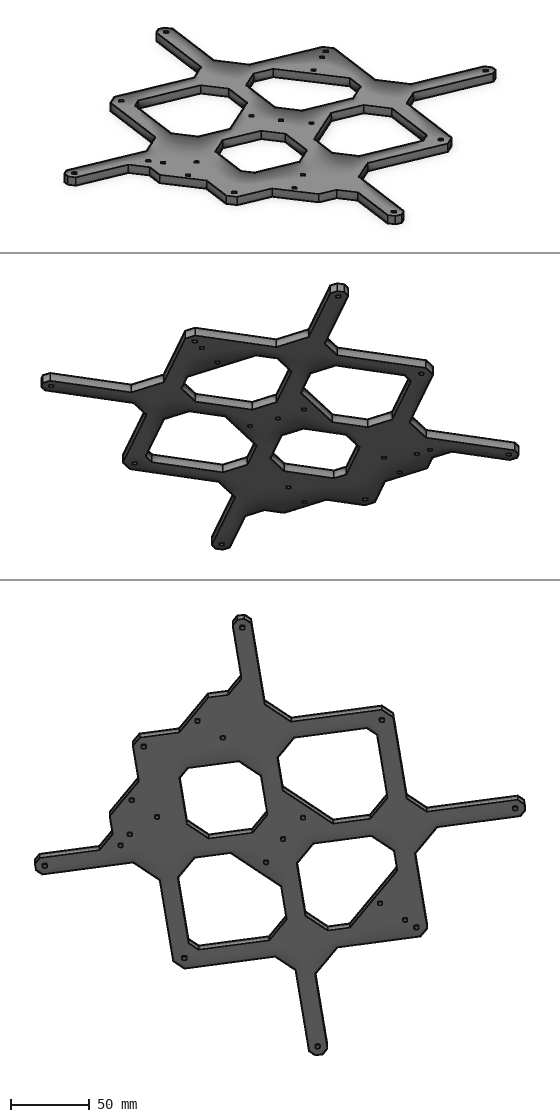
import cadquery as cq

WIDTH = 222.0
LENGTH = 227.0
THICKNESS = 6.0
half_width = WIDTH / 2
half_length = LENGTH / 2

TIP_CHAMFER = 3.2
ARM_TIP_FLAT = 8.5
CENTRE_TIP_HALF = 3.6
SIDE_TIP_Y = 2.5
SIDE_TIP_HALF = 4.5
WAIST_X = 70.0
REAR_NOTCH_Y = 75.8
FRONT_NOTCH_Y = -86.5
FRONT_EDGE_Y = -95.5
FRONT_STEP_X = 61.5

MOUNT_DIAMETER = 3.2
FITTING_DIAMETER = 3.0
TIP_HOLE_INSET = 6.0
REAR_HOLES_Y = (98.7, 79.0)
CENTRE_HOLE_Y = 2.5
CENTRE_PAIR_X = 19.7
CENTRE_PAIR_Y = 3.6
FRONT_PAIR_X = 35.0
FRONT_PAIR_Y = (-71.0, -91.0)
LEFT_HOLES_X = (-65.0, -55.2)
LEFT_HOLES_Y = -77.6


def mirrored(points):
    """Close a right-hand half outline with its mirror image across X = 0."""
    return points + [(-x, y) for x, y in reversed(points)]


def prism(points):
    """Polygon extruded through the plate thickness."""
    return cq.Workplane("XY").polyline(points).close().extrude(THICKNESS)


def frame_blank():
    """Outer outline of the plate with four arms and four tips."""
    arm_x = half_width - ARM_TIP_FLAT
    arm_y = half_length - ARM_TIP_FLAT
    arm_run = half_width - WAIST_X
    rear_run = half_length - REAR_NOTCH_Y
    front_run = half_length + FRONT_NOTCH_Y
    front_step = FRONT_NOTCH_Y - FRONT_EDGE_Y
    side_top = SIDE_TIP_Y + SIDE_TIP_HALF
    side_bottom = SIDE_TIP_Y - SIDE_TIP_HALF
    return prism(mirrored([
        (CENTRE_TIP_HALF, half_length),
        (CENTRE_TIP_HALF + rear_run, REAR_NOTCH_Y),
        (arm_x - rear_run, REAR_NOTCH_Y),
        (arm_x, half_length),
        (half_width - TIP_CHAMFER, half_length),
        (half_width, half_length - TIP_CHAMFER),
        (half_width, arm_y),
        (WAIST_X, arm_y - arm_run),
        (WAIST_X, side_top + arm_run),
        (half_width, side_top),
        (half_width, side_bottom),
        (WAIST_X, side_bottom - arm_run),
        (WAIST_X, arm_run - arm_y),
        (half_width, -arm_y),
        (half_width, TIP_CHAMFER - half_length),
        (half_width - TIP_CHAMFER, -half_length),
        (arm_x, -half_length),
        (arm_x - front_run, FRONT_NOTCH_Y),
        (FRONT_STEP_X, FRONT_NOTCH_Y),
        (FRONT_STEP_X - front_step, FRONT_EDGE_Y),
        (CENTRE_TIP_HALF + half_length + FRONT_EDGE_Y, FRONT_EDGE_Y),
        (CENTRE_TIP_HALF, -half_length),
    ]))


def windows():
    """Eight-sided openings: rear, front, right and left."""
    rear = [(25.2, 73.8), (35.2, 63.8), (35.2, 46.0), (8.9, 19.7)]
    front = [(8.0, -16.0), (27.7, -35.6), (27.7, -53.0), (4.5, -76.0)]
    right = [
        (62.9, 38.1), (44.5, 38.1), (27.7, 21.3), (27.7, -18.5),
        (44.0, -34.7), (62.0, -34.7), (94.9, -1.8), (94.9, 6.1),
    ]
    left = [(-x, y) for x, y in right]
    outlines = (mirrored(rear), mirrored(front), right, left)
    return [prism(outline) for outline in outlines]


def mount_points():
    """Hole centres in the arm ends and the side and centre tips."""
    tip_x = half_width - TIP_HOLE_INSET
    tip_y = half_length - TIP_HOLE_INSET
    rows = [(x, y) for x in (-tip_x, 0, tip_x) for y in (-tip_y, tip_y)]
    return rows + [(-tip_x, SIDE_TIP_Y), (tip_x, SIDE_TIP_Y)]


def fitting_points():
    """Hole centres inside the plate."""
    points = [(0, y) for y in REAR_HOLES_Y]
    points.append((0, CENTRE_HOLE_Y))
    for side in (-1, 1):
        points.append((side * CENTRE_PAIR_X, CENTRE_PAIR_Y))
        points += [(side * FRONT_PAIR_X, y) for y in FRONT_PAIR_Y]
    return points + [(x, LEFT_HOLES_Y) for x in LEFT_HOLES_X]


def drills(points, diameter):
    """Cylinders through the plate at the given centres."""
    return cq.Workplane("XY").pushPoints(points).circle(diameter / 2).extrude(THICKNESS)


result = frame_blank()
for window in windows():
    result = result.cut(window)
result = result.cut(drills(mount_points(), MOUNT_DIAMETER))
result = result.cut(drills(fitting_points(), FITTING_DIAMETER))